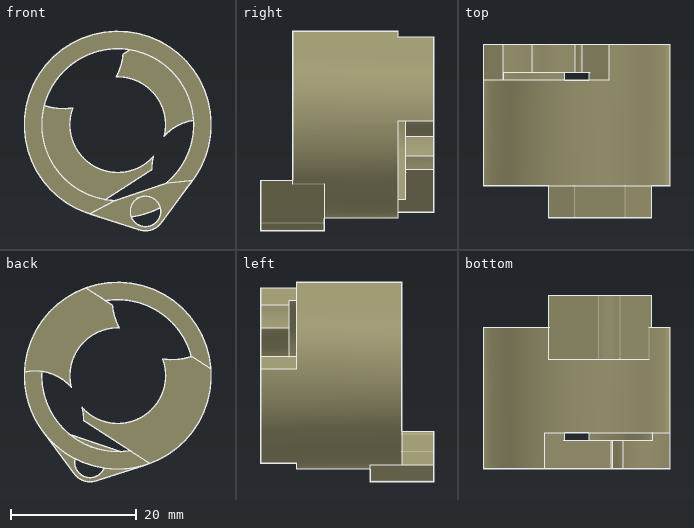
import cadquery as cq
import math

OUTER_RADIUS = 14.85
BORE_RADIUS = 12.07
TUBE_LENGTH = 22.5

FLANGE_THICKNESS = 4.5
FLANGE_HOLE_RADIUS = 7.6

GAP_DEPTH = 5.7
GAP_TILT = 32.9
FLANK_DISTANCE = 8.95
UPPER_SCALLOP_RADIUS = 9.53
UPPER_SCALLOP_ANGLE = 125.6
LOWER_SCALLOP_RADIUS = 7.7
LOWER_SCALLOP_ANGLE = -27.8

LUG_OVERHANG = 5.08
LUG_LENGTH = 2 * LUG_OVERHANG
LUG_EYE = (4.4, -13.78)
LUG_EYE_RADIUS = 3.1
LUG_HOLE_RADIUS = 4.83 / 2
LUG_LEFT_TIP = (-4.5, -14.2)
LUG_LEFT_BEND = (-0.38, -12.05)
LUG_RIGHT_BEND = (7.7, -9.3)
LUG_RIGHT_TIP = (11.9, -8.85)


def section(y):
    """Sketch plane across the tube at height y: local x is X, local y is Z."""
    return cq.Workplane("XZ", origin=(0, y, 0))


def cylinder(radius, start, length, center=(0, 0)):
    return section(start).center(*center).circle(radius).extrude(-length)


def polar(radius, degrees):
    angle = math.radians(degrees)
    return (radius * math.cos(angle), radius * math.sin(angle))


def tangent_point(tip, side):
    """Point where a line from tip touches the lug eye; side is +1 or -1."""
    dx = tip[0] - LUG_EYE[0]
    dz = tip[1] - LUG_EYE[1]
    spread = math.acos(LUG_EYE_RADIUS / math.hypot(dx, dz))
    offset = polar(LUG_EYE_RADIUS, math.degrees(math.atan2(dz, dx) + side * spread))
    return (LUG_EYE[0] + offset[0], LUG_EYE[1] + offset[1])


def make_tube():
    tube = cylinder(OUTER_RADIUS, 0, TUBE_LENGTH)
    bore = cylinder(BORE_RADIUS, 0, TUBE_LENGTH - FLANGE_THICKNESS)
    flange_hole = cylinder(FLANGE_HOLE_RADIUS, 0, TUBE_LENGTH)
    return tube.cut(bore).cut(flange_hole)


def make_gap(side, scallop_radius, scallop_angle):
    """Everything beyond one flat flank, joined with a scallop centred on the tube surface."""
    start = TUBE_LENGTH - GAP_DEPTH
    beyond_flank = (
        section(start)
        .transformed(rotate=(0, 0, GAP_TILT))
        .center(0, side * (FLANK_DISTANCE + OUTER_RADIUS / 2))
        .rect(2 * OUTER_RADIUS, OUTER_RADIUS)
        .extrude(-GAP_DEPTH)
    )
    scallop = cylinder(scallop_radius, start, GAP_DEPTH, polar(OUTER_RADIUS, scallop_angle))
    return beyond_flank.union(scallop)


def make_lug():
    eye_bottom = (LUG_EYE[0], LUG_EYE[1] - LUG_EYE_RADIUS)
    return (
        section(-LUG_OVERHANG)
        .moveTo(*LUG_LEFT_TIP)
        .lineTo(*LUG_LEFT_BEND)
        .lineTo(*LUG_RIGHT_BEND)
        .lineTo(*LUG_RIGHT_TIP)
        .lineTo(*tangent_point(LUG_RIGHT_TIP, -1))
        .threePointArc(eye_bottom, tangent_point(LUG_LEFT_TIP, 1))
        .close()
        .extrude(-LUG_LENGTH)
    )


upper_gap = make_gap(1, UPPER_SCALLOP_RADIUS, UPPER_SCALLOP_ANGLE)
lower_gap = make_gap(-1, LOWER_SCALLOP_RADIUS, LOWER_SCALLOP_ANGLE)
lug_hole = cylinder(LUG_HOLE_RADIUS, -LUG_OVERHANG, LUG_LENGTH, LUG_EYE)

result = make_tube().cut(upper_gap).cut(lower_gap).union(make_lug()).cut(lug_hole)